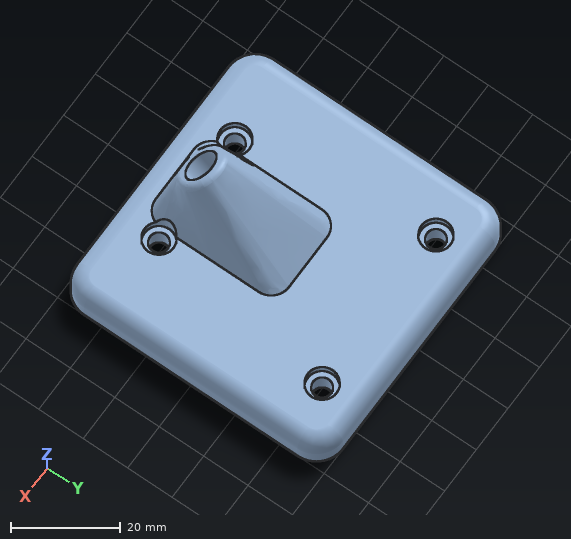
import cadquery as cq

PLATE_SIDE = 60.0
PLATE_HEIGHT = 7.0
PLATE_CORNER_RADIUS = 6.0
PLATE_TOP_FILLET = PLATE_HEIGHT / 2

SCREW_HOLE_DIAMETER = 4.0
COUNTERBORE_DIAMETER = 6.5
COUNTERBORE_DEPTH = 2.0
REAR_HOLE_X = 18.0
REAR_HOLE_Y = 21.0
FRONT_HOLE_X = 12.0
FRONT_HOLE_Y = -20.0

FOOT_WIDTH = 20.0
FOOT_LENGTH = 30.0
FOOT_CENTER_Y = -10.0
FOOT_CORNER_RADIUS = 4.0
MOUTH_DIAMETER = 10.4
MOUTH_CENTER_Y = -19.1
MOUTH_CENTER_Z = 19.87
MOUTH_TILT = 45.0
MOUTH_FILLET = 1.5
BORE_DIAMETER = 7.0

BORE_CUT_LENGTH = PLATE_SIDE
COUNTERBORE_CUT_LENGTH = MOUTH_CENTER_Z

MOUTH_PLANE = cq.Plane(origin=(0, MOUTH_CENTER_Y, MOUTH_CENTER_Z)).rotated((MOUTH_TILT, 0, 0))


def make_plate():
    """Square plate with rounded corners and a rounded top edge."""
    plate = cq.Workplane("XY").rect(PLATE_SIDE, PLATE_SIDE).extrude(PLATE_HEIGHT)
    plate = plate.edges("|Z").fillet(PLATE_CORNER_RADIUS)
    return plate.faces(">Z").edges().fillet(PLATE_TOP_FILLET)


def make_spout():
    """Solid spout lofted from its foot on the plate to the tilted mouth, with a rounded rim."""
    foot = cq.Sketch().rect(FOOT_WIDTH, FOOT_LENGTH).vertices().fillet(FOOT_CORNER_RADIUS)
    foot = foot.moved(cq.Location(cq.Vector(0, FOOT_CENTER_Y, PLATE_HEIGHT)))
    mouth = cq.Sketch().circle(MOUTH_DIAMETER / 2).moved(cq.Location(MOUTH_PLANE))
    spout = cq.Workplane("XY").placeSketch(foot, mouth).loft()
    mouth_face = cq.selectors.DirectionMinMaxSelector(MOUTH_PLANE.zDir)
    return spout.faces(mouth_face).edges().fillet(MOUTH_FILLET)


def make_bore():
    """Straight bore along the mouth axis that leaves through the underside of the plate."""
    return cq.Workplane(MOUTH_PLANE).circle(BORE_DIAMETER / 2).extrude(-BORE_CUT_LENGTH)


def make_screw_holes():
    """Through holes with counterbores that stay open upwards, notching the sides of the spout."""
    centers = []
    for side in (-1, 1):
        centers.append((side * REAR_HOLE_X, REAR_HOLE_Y))
        centers.append((side * FRONT_HOLE_X, FRONT_HOLE_Y))
    shanks = cq.Workplane("XY").pushPoints(centers).circle(SCREW_HOLE_DIAMETER / 2).extrude(PLATE_HEIGHT)
    seats = cq.Workplane("XY", origin=(0, 0, PLATE_HEIGHT - COUNTERBORE_DEPTH)).pushPoints(centers)
    heads = seats.circle(COUNTERBORE_DIAMETER / 2).extrude(COUNTERBORE_CUT_LENGTH)
    return shanks.union(heads)


result = make_plate().union(make_spout()).cut(make_bore()).cut(make_screw_holes())